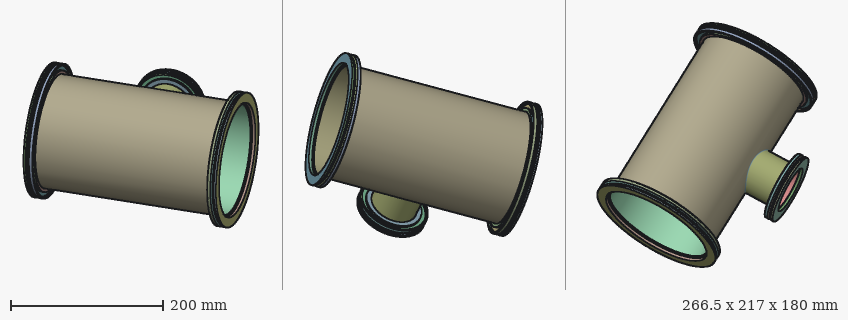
import cadquery as cq

LENGTH = 266.5
OVERALL_DEPTH = 217.0
PIPE_OD = 152.5
PIPE_ID = 148.2
BRANCH_OD = 63.5
BRANCH_ID = 60.3
WELD_RADIUS = 1.3
PIPE_MOUTH_ID = 149.0
PIPE_MOUTH_DEPTH = 2.0
PIPE_SETBACK = 4.3

FLANGE_THICKNESS = 12.3
GROOVE_START = 3.0
GROOVE_END = 7.7
GROOVE_DEPTH = 2.0
GROOVE_FLOOR_START = 3.7
GROOVE_FLOOR_END = 5.5
RELIEF_DEPTH = 3.0
RELIEF_WIDTH = 12.5 / 2

MAIN_FLANGE_OD = 180.0
MAIN_FLANGE_BORE = 153.0
MAIN_RELIEF_ID = 162.4

BRANCH_REACH = OVERALL_DEPTH - MAIN_FLANGE_OD / 2
BRANCH_FLANGE_OD = 95.0
BRANCH_FLANGE_BORE = 63.7
BRANCH_RELIEF_ID = 77.3


def make_tee():
    """Pipe and branch as one hollow tee."""
    pipe_length = LENGTH - 2 * PIPE_SETBACK
    branch_length = BRANCH_REACH - PIPE_SETBACK
    pipe = cq.Workplane("YZ").circle(PIPE_OD / 2).extrude(pipe_length / 2, both=True)
    branch = cq.Workplane("XZ").circle(BRANCH_OD / 2).extrude(-branch_length)
    outside = pipe.union(branch)
    margin = 2.7
    half_box = BRANCH_OD / 2 + margin
    saddle = cq.selectors.BoxSelector(
        (-half_box, PIPE_OD / 4, -half_box),
        (half_box, PIPE_OD / 2 + margin, half_box),
    )
    outside = outside.edges(saddle).fillet(WELD_RADIUS)
    pipe_bore = cq.Workplane("YZ").circle(PIPE_ID / 2).extrude(LENGTH / 2, both=True)
    branch_bore = cq.Workplane("XZ").circle(BRANCH_ID / 2).extrude(-BRANCH_REACH)
    tee_body = outside.cut(pipe_bore).cut(branch_bore)
    for side in (-1, 1):
        mouth = (
            cq.Workplane("YZ", origin=(side * pipe_length / 2, 0, 0))
            .circle(PIPE_MOUTH_ID / 2)
            .extrude(-side * PIPE_MOUTH_DEPTH)
        )
        tee_body = tee_body.cut(mouth)
    return tee_body


def make_flange(outer_diameter, bore, relief_id):
    """Flange around the Y axis, sealing face at Y = 0 and back face at -Y."""
    rim = outer_diameter / 2
    groove_floor = rim - GROOVE_DEPTH
    relief_inner = relief_id / 2
    relief_outer = relief_inner + RELIEF_WIDTH
    relief_floor = FLANGE_THICKNESS - RELIEF_DEPTH
    profile = [
        (bore / 2, 0),
        (rim, 0),
        (rim, -GROOVE_START),
        (groove_floor, -GROOVE_FLOOR_START),
        (groove_floor, -GROOVE_FLOOR_END),
        (rim, -GROOVE_END),
        (rim, -FLANGE_THICKNESS),
        (relief_outer, -FLANGE_THICKNESS),
        (relief_outer, -relief_floor),
        (relief_inner, -relief_floor),
        (relief_inner, -FLANGE_THICKNESS),
        (bore / 2, -FLANGE_THICKNESS),
    ]
    return cq.Workplane("XY").polyline(profile).close().revolve(360, (0, 0), (0, 1))


def make_main_flange(side):
    """Flange on one pipe end; side is +1 for the +X end and -1 for the -X end."""
    flange = make_flange(MAIN_FLANGE_OD, MAIN_FLANGE_BORE, MAIN_RELIEF_ID)
    facing_outward = flange.rotate((0, 0, 0), (0, 0, 1), -90 * side)
    return facing_outward.translate((side * LENGTH / 2, 0, 0))


def make_branch_flange():
    flange = make_flange(BRANCH_FLANGE_OD, BRANCH_FLANGE_BORE, BRANCH_RELIEF_ID)
    return flange.translate((0, BRANCH_REACH, 0))


tee = make_tee()
main_flanges = [make_main_flange(side) for side in (-1, 1)]
branch_flange = make_branch_flange()

result = cq.Compound.makeCompound(
    [tee.val(), *[flange.val() for flange in main_flanges], branch_flange.val()]
)